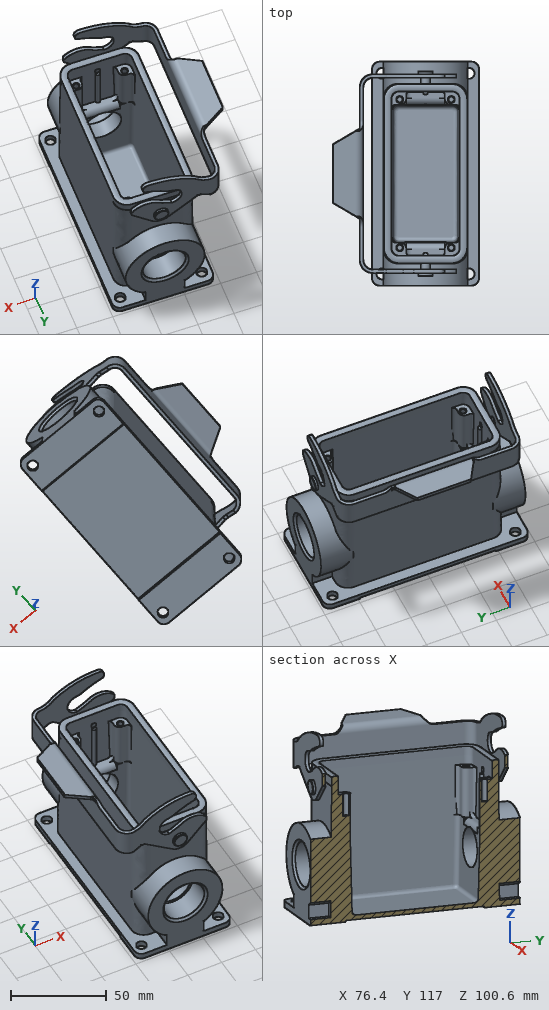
import cadquery as cq
import math


overall_width = 76.36
base_width = 56.0
base_length = 117.0
base_thickness = 3.5
base_corner_radius = 4.2
screw_hole_diameter = 5.6
screw_hole_x = 22.7
screw_hole_y = 52.3
relief_depth = 0.8
relief_half_length = 38.4
relief_slope_run = 0.6

body_foot_half_x = 22.0
body_foot_half_y = 47.2
body_foot_radius = 7.3
body_top_half_x = 21.65
body_top_half_y = 46.75
body_top_radius = 7.7
collar_z = 74.5
rim_z = 79.85
rim_crown = 0.5

mouth_half_x = 17.8
mouth_half_y = 42.85
mouth_radius = 3.85
floor_z = base_thickness
floor_half_x = 16.5
cavity_foot_half_y = 42.0
lower_foot_half_y = 35.0
floor_fillet = 2.0
lower_corner_radius = 2.5
shelf_z = 43.0
shelf_edge_radius = 3.4
shelf_corner_fillet = 2.6
end_block_y = 36.0

wall_overlap = 0.8

post_top_z = 69.7
post_inner_x = 10.1
post_corner_radius = 3.0
post_wall_fillet = 1.9
post_side_wall_x = 17.4
post_hole_diameter = 3.0
post_hole_depth = 12.0
post_hole_chamfer = 0.35
post_hole_x = 13.45
post_hole_y = 38.65

entry_z = 29.7
entry_radius = 22.0
thread_diameter = 23.8
thread_mouth_diameter = 26.4
thread_chamfer = 1.3
thread_depth = 14.0
entry_bore_diameter = 21.1
web_half_x = 10.9

pin_z = 71.0
pin_diameter = 4.8
pin_head_diameter = 7.8
pin_head_height = 1.6
pin_head_chamfer = 0.3
pin_tip_diameter = 3.0
pin_tip_length = 0.1
key_rib_half_width = 1.3
key_rib_shoulder_y = 42.5
key_rib_top_z = 68.9

sheet = 2.0
lever_outer_y = 51.9
strap_outer_x = -34.35
strap_bottom_z = 74.0
strap_top_z = 88.5
bend_outer_radius = 6.9

tab_tip_x = base_width / 2 - overall_width
tab_bend_inner_radius = 2.45
tab_angle = math.radians(5)
tab_tip_half_y = 15.3
tab_root_half_y = 23.5
tab_flare_half_y = 27.9
tab_flare_radius = 4.0
tab_flare_angle = math.radians(45)
tab_shoulder_half_y = 22.2
tab_side_top_z = 92.4
tab_corner_radius = 1.2

hook_top_z = 100.63
hook_tip_x = 6.9
hook_tip_radius = 3.13
hook_tip_end_angle = math.radians(-40)
pivot_eye_radius = 7.0
neck_middle = (-23.5, 89.8)
neck_end = (-20.0, 92.6)
hook_back_middle = (-11.2, 97.4)
hook_back_end = (4.0, hook_top_z)
hook_belly_middle = (2.9, 93.2)
hook_belly_end = (-4.2, 89.5)
throat_start = (-7.0, 88.8)
throat_middle = (-11.7, 83.2)
throat_end = (-6.1, 77.5)
lobe_foot = (-1.0, 79.9)
lobe_start = (2.9, 82.3)
lobe_crest = (9.8, 83.3)
lobe_end = (16.1, 79.7)
lobe_corner = (16.1, 77.4)
heel = (-20.4, 76.7)
heel_step_x = -22.5


def rounded_rect(half_x, half_y, radius, z):
    """Rounded rectangle centred on the Z axis at height z."""
    sketch = cq.Sketch().rect(2 * half_x, 2 * half_y).vertices().fillet(radius)
    return sketch.moved(cq.Location(cq.Vector(0, 0, z)))


def tapered_block(lower, upper):
    """Straight loft between two rounded rectangles."""
    return cq.Workplane("XY").placeSketch(lower, upper).loft(ruled=True)


def box_between(x_range, y_range, z_range):
    """Axis-aligned box given by its limits along each axis."""
    sizes = [high - low for low, high in (x_range, y_range, z_range)]
    corner = (x_range[0], y_range[0], z_range[0])
    return cq.Workplane("XY", origin=corner).box(*sizes, centered=False)


def cylinder_y(x, z, radius, y_start, y_end):
    """Cylinder along +Y between two Y positions."""
    plane = cq.Plane(origin=(x, y_start, z), xDir=(-1, 0, 0), normal=(0, 1, 0))
    return cq.Workplane(plane).circle(radius).extrude(y_end - y_start)


def mirrored(shape, plane):
    """The shape together with its mirror image."""
    return shape.union(shape.mirror(plane))


def base_plate():
    half_x = base_width / 2
    half_y = base_length / 2
    plate = box_between((-half_x, half_x), (-half_y, half_y), (0, base_thickness))
    plate = plate.edges("|Z").fillet(base_corner_radius)
    relief_foot_y = relief_half_length + relief_slope_run
    relief = (
        cq.Workplane("YZ")
        .polyline([
            (-relief_foot_y, 0),
            (-relief_half_length, relief_depth),
            (relief_half_length, relief_depth),
            (relief_foot_y, 0),
        ])
        .close()
        .extrude(half_x, both=True)
    )
    return plate.cut(relief)


def screw_holes():
    return (
        cq.Workplane("XY")
        .rect(2 * screw_hole_x, 2 * screw_hole_y, forConstruction=True)
        .vertices()
        .circle(screw_hole_diameter / 2)
        .extrude(base_thickness)
    )


def outer_body():
    return tapered_block(
        rounded_rect(body_foot_half_x, body_foot_half_y, body_foot_radius, base_thickness),
        rounded_rect(body_top_half_x, body_top_half_y, body_top_radius, collar_z),
    )


def rim():
    """Upright collar with a crowned top, swept around the mouth."""
    wall = body_top_half_x - mouth_half_x
    mid_x = mouth_half_x + wall / 2
    mid_y = mouth_half_y + wall / 2
    radius = mouth_radius + wall / 2
    path = (
        cq.Workplane("XY", origin=(0, 0, collar_z))
        .moveTo(mid_x, 0)
        .lineTo(mid_x, mid_y - radius)
        .radiusArc((mid_x - radius, mid_y), -radius)
        .lineTo(radius - mid_x, mid_y)
        .radiusArc((-mid_x, mid_y - radius), -radius)
        .lineTo(-mid_x, radius - mid_y)
        .radiusArc((radius - mid_x, -mid_y), -radius)
        .lineTo(mid_x - radius, -mid_y)
        .radiusArc((mid_x, radius - mid_y), -radius)
        .close()
    )
    shoulder_z = rim_z - rim_crown
    profile = (
        cq.Workplane("XZ")
        .moveTo(mouth_half_x, collar_z)
        .lineTo(body_top_half_x, collar_z)
        .lineTo(body_top_half_x, shoulder_z)
        .threePointArc((mid_x, rim_z), (mouth_half_x, shoulder_z))
        .close()
    )
    return profile.sweep(path)


def entry_boss():
    """Round boss and supporting web at the -Y end, reaching into the body corners."""
    end_y = -base_length / 2
    root_y = -(body_foot_half_y - body_foot_radius)
    boss = cylinder_y(0, entry_z, entry_radius, end_y, root_y)
    web = box_between((-web_half_x, web_half_x), (end_y, root_y), (base_thickness, entry_z))
    return boss.union(web)


def entry_hole():
    """Chamfered thread bore and narrower passage into the cavity at the -Y end."""
    end_y = -base_length / 2
    thread = cylinder_y(0, entry_z, thread_diameter / 2, end_y, end_y + thread_depth)
    passage = cylinder_y(0, entry_z, entry_bore_diameter / 2, end_y, -lower_foot_half_y + floor_fillet)
    chamfer = cq.Solid.makeCone(
        thread_mouth_diameter / 2,
        thread_diameter / 2,
        thread_chamfer,
        pnt=cq.Vector(0, end_y, entry_z),
        dir=cq.Vector(0, 1, 0),
    )
    return thread.union(passage).union(cq.Workplane(chamfer))


def cavity():
    """Upper chamber behind the mouth, above a lower chamber between the end blocks."""
    upper = tapered_block(
        rounded_rect(floor_half_x, cavity_foot_half_y, mouth_radius, floor_z),
        rounded_rect(mouth_half_x, mouth_half_y, mouth_radius, collar_z),
    )
    shelf_level = (shelf_z - floor_z) / (collar_z - floor_z)
    shelf_half_x = floor_half_x + shelf_level * (mouth_half_x - floor_half_x)
    lower = tapered_block(
        rounded_rect(floor_half_x, lower_foot_half_y, lower_corner_radius, floor_z),
        rounded_rect(shelf_half_x, end_block_y, lower_corner_radius, shelf_z),
    )
    lower = lower.faces("<Z").edges().fillet(floor_fillet)
    end_blocks = box_between(
        (-base_width, base_width), (-base_length, base_length), (floor_z, shelf_z)
    )
    return upper.cut(end_blocks).union(lower)


def shelf_edge_rounding():
    """Waste that rounds the inner edge of the shelf between the posts at the -Y end."""
    axis_y = -end_block_y - shelf_edge_radius
    axis_z = shelf_z - shelf_edge_radius
    gap = (-post_inner_x, post_inner_x)
    waste = box_between(gap, (axis_y, -lower_foot_half_y), (axis_z, shelf_z))
    round_edge = (
        cq.Workplane("YZ", origin=(-post_inner_x, axis_y, axis_z))
        .circle(shelf_edge_radius)
        .extrude(2 * post_inner_x)
    )
    return waste.cut(round_edge)


def corner_fillet(x, y):
    """Concave upright fillet for a screw post, filling the corner at (x, y) towards -X and +Y."""
    axis = (x - post_wall_fillet, y + post_wall_fillet)
    height = post_top_z - shelf_z
    reach = post_wall_fillet + wall_overlap
    centre = (axis[0] + reach / 2, axis[1] - reach / 2)
    plane = cq.Workplane("XY", origin=(0, 0, shelf_z))
    filler = plane.center(*centre).rect(reach, reach).extrude(height)
    return filler.cut(plane.center(*axis).circle(post_wall_fillet).extrude(height))


def screw_post():
    """Screw post in the +X, -Y corner, with a concave fillet where it meets the shelf."""
    wall_y = -mouth_half_y - wall_overlap
    post = box_between(
        (post_inner_x, mouth_half_x + wall_overlap), (wall_y, -end_block_y), (shelf_z, post_top_z)
    )
    post = post.edges("|Z and <X and >Y").fillet(post_corner_radius)
    wall_fillet = corner_fillet(post_inner_x, -mouth_half_y)
    side_fillet = corner_fillet(post_side_wall_x, -end_block_y)
    post = post.union(wall_fillet).union(side_fillet)
    fillet_x = post_inner_x - shelf_corner_fillet
    fillet_top_z = shelf_z + shelf_corner_fillet
    fillet_end_y = -end_block_y - shelf_edge_radius
    foot = box_between((fillet_x, post_inner_x), (wall_y, fillet_end_y), (shelf_z, fillet_top_z))
    foot = foot.cut(cylinder_y(fillet_x, fillet_top_z, shelf_corner_fillet, wall_y, fillet_end_y))
    hole = (
        cq.Workplane("XY", origin=(post_hole_x, -post_hole_y, post_top_z))
        .circle(post_hole_diameter / 2)
        .extrude(-post_hole_depth)
    )
    countersink = cq.Workplane(
        cq.Solid.makeCone(
            post_hole_diameter / 2,
            post_hole_diameter / 2 + post_hole_chamfer,
            post_hole_chamfer,
            pnt=cq.Vector(post_hole_x, -post_hole_y, post_top_z - post_hole_chamfer),
        )
    )
    return post.union(foot).cut(hole).cut(countersink)


def key_rib():
    """Round-nosed rib on the end wall, from the shelf up to just below the pivot pin."""
    root_y = -mouth_half_y - wall_overlap
    nose_y = key_rib_half_width - key_rib_shoulder_y
    return (
        cq.Workplane("XY", origin=(0, 0, shelf_z))
        .moveTo(-key_rib_half_width, root_y)
        .lineTo(-key_rib_half_width, -key_rib_shoulder_y)
        .threePointArc((0, nose_y), (key_rib_half_width, -key_rib_shoulder_y))
        .lineTo(key_rib_half_width, root_y)
        .close()
        .extrude(key_rib_top_z - shelf_z)
    )


def pivot_pin():
    """Headed pin at the -Y end, with a thin tip showing inside the cavity."""
    arm_y = -lever_outer_y
    inner_y = -mouth_half_y - wall_overlap
    head = cylinder_y(0, pin_z, pin_head_diameter / 2, arm_y - pin_head_height, arm_y)
    head = head.faces("<Y").chamfer(pin_head_chamfer)
    shank = cylinder_y(0, pin_z, pin_diameter / 2, arm_y, inner_y)
    tip = cylinder_y(0, pin_z, pin_tip_diameter / 2, inner_y, -mouth_half_y + pin_tip_length)
    return head.union(shank).union(tip)


def eye_tangent_point(place, side):
    """Point of the pivot eye where a line from place touches it; side is +1 or -1."""
    dx = place[0]
    dz = place[1] - pin_z
    turn = math.acos(pivot_eye_radius / math.hypot(dx, dz))
    angle = math.atan2(dz, dx) + side * turn
    return (pivot_eye_radius * math.cos(angle), pin_z + pivot_eye_radius * math.sin(angle))


def lever_arm():
    """Flat hooked arm at the -Y end."""
    strap_end_x = strap_outer_x + bend_outer_radius

    def on_hook_tip(angle):
        centre_z = hook_top_z - hook_tip_radius
        return (hook_tip_x + hook_tip_radius * math.cos(angle), centre_z + hook_tip_radius * math.sin(angle))

    return (
        cq.Workplane("XZ", origin=(0, sheet - lever_outer_y, 0))
        .moveTo(strap_end_x, strap_bottom_z)
        .lineTo(strap_end_x, strap_top_z)
        .threePointArc(neck_middle, neck_end)
        .threePointArc(hook_back_middle, hook_back_end)
        .lineTo(hook_tip_x, hook_top_z)
        .threePointArc(on_hook_tip(0), on_hook_tip(hook_tip_end_angle))
        .threePointArc(hook_belly_middle, hook_belly_end)
        .lineTo(*throat_start)
        .threePointArc(throat_middle, throat_end)
        .lineTo(*lobe_foot)
        .lineTo(*lobe_start)
        .threePointArc(lobe_crest, lobe_end)
        .lineTo(*lobe_corner)
        .lineTo(*eye_tangent_point(lobe_corner, -1))
        .threePointArc((0, pin_z - pivot_eye_radius), eye_tangent_point(heel, 1))
        .lineTo(*heel)
        .lineTo(heel_step_x, heel[1])
        .close()
        .extrude(sheet)
    )


def lever_strap():
    """Cross strap with rounded bends joining the two arms."""
    strap_end_x = strap_outer_x + bend_outer_radius
    inner_radius = bend_outer_radius - sheet
    straight_half_y = lever_outer_y - bend_outer_radius
    return (
        cq.Workplane("XY", origin=(0, 0, strap_bottom_z))
        .moveTo(strap_end_x, -lever_outer_y)
        .radiusArc((strap_outer_x, -straight_half_y), bend_outer_radius)
        .lineTo(strap_outer_x, straight_half_y)
        .radiusArc((strap_end_x, lever_outer_y), bend_outer_radius)
        .lineTo(strap_end_x, lever_outer_y - sheet)
        .radiusArc((strap_outer_x + sheet, straight_half_y), -inner_radius)
        .lineTo(strap_outer_x + sheet, -straight_half_y)
        .radiusArc((strap_end_x, sheet - lever_outer_y), -inner_radius)
        .close()
        .extrude(strap_top_z - strap_bottom_z)
    )


def thumb_tab():
    """Tab bent outward from the strap, tapering to a rounded-corner tip."""
    centre_x = strap_outer_x - tab_bend_inner_radius
    outer_radius = tab_bend_inner_radius + sheet
    up_x = math.sin(tab_angle)
    up_z = math.cos(tab_angle)

    def on_bend(radius, angle):
        return (centre_x + radius * math.cos(angle), strap_top_z + radius * math.sin(angle))

    bend_end = math.pi / 2 - tab_angle
    inner_end = on_bend(tab_bend_inner_radius, bend_end)
    outer_end = on_bend(outer_radius, bend_end)
    reach = (inner_end[0] - tab_tip_x) / up_z
    tip_low = (tab_tip_x, inner_end[1] + reach * up_x)
    tip_high = (tip_low[0] + sheet * up_x, tip_low[1] + sheet * up_z)
    bent_sheet = (
        cq.Workplane("XZ")
        .moveTo(strap_outer_x, strap_top_z)
        .threePointArc(on_bend(tab_bend_inner_radius, bend_end / 2), inner_end)
        .lineTo(*tip_low)
        .lineTo(*tip_high)
        .lineTo(*outer_end)
        .threePointArc(on_bend(outer_radius, bend_end / 2), (strap_outer_x + sheet, strap_top_z))
        .close()
        .extrude(tab_flare_half_y, both=True)
    )
    plan = (
        cq.Workplane("XY", origin=(0, 0, strap_top_z))
        .polyline([
            (0, -tab_flare_half_y),
            (strap_outer_x, -tab_flare_half_y),
            (strap_outer_x, -tab_root_half_y),
            (tab_tip_x, -tab_tip_half_y),
            (tab_tip_x, tab_tip_half_y),
            (strap_outer_x, tab_root_half_y),
            (strap_outer_x, tab_flare_half_y),
            (0, tab_flare_half_y),
        ])
        .close()
        .extrude(hook_top_z - strap_top_z)
        .edges("|Z and <X")
        .fillet(tab_corner_radius)
    )

    def on_flare(angle):
        """Half-width and height along the concave flare, from the strap edge upward."""
        half_y = tab_flare_half_y - tab_flare_radius * math.sin(angle)
        return (half_y, strap_top_z + tab_flare_radius * (1 - math.cos(angle)))

    flare_mid = on_flare(tab_flare_angle / 2)
    flare_end = on_flare(tab_flare_angle)
    elevation = (
        cq.Workplane("YZ", origin=(tab_tip_x, 0, 0))
        .moveTo(-tab_flare_half_y, strap_top_z)
        .threePointArc((-flare_mid[0], flare_mid[1]), (-flare_end[0], flare_end[1]))
        .lineTo(-tab_shoulder_half_y, tab_side_top_z)
        .lineTo(-tab_shoulder_half_y, hook_top_z)
        .lineTo(tab_shoulder_half_y, hook_top_z)
        .lineTo(tab_shoulder_half_y, tab_side_top_z)
        .lineTo(*flare_end)
        .threePointArc(flare_mid, (tab_flare_half_y, strap_top_z))
        .close()
        .extrude(-tab_tip_x)
    )
    return bent_sheet.intersect(plan).intersect(elevation)


def housing():
    shell = base_plate().union(outer_body()).union(mirrored(entry_boss(), "XZ"))
    shell = shell.cut(cavity()).union(rim())
    shell = shell.cut(mirrored(shelf_edge_rounding(), "XZ"))
    shell = shell.union(mirrored(mirrored(screw_post(), "YZ"), "XZ"))
    shell = shell.union(mirrored(key_rib(), "XZ"))
    return shell.cut(mirrored(entry_hole(), "XZ")).cut(screw_holes())


def locking_lever():
    lever = lever_strap().union(mirrored(lever_arm(), "XZ")).union(thumb_tab())
    return lever.union(mirrored(pivot_pin(), "XZ"))


result = housing().union(locking_lever())